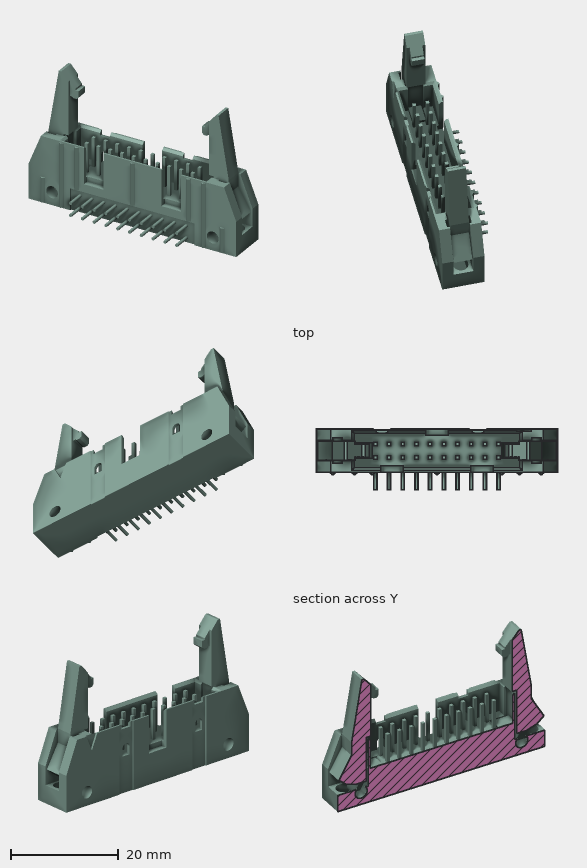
import cadquery as cq
import math


LENGTH = 44.7
DEPTH = 8.05
HEIGHT = 13.95
SHOULDER_HEIGHT = 7.4
TOP_LENGTH = 39.43
MID_Y = DEPTH / 2

CAVITY_LENGTH = 30.65
CAVITY_WIDTH = 6.45
CAVITY_FLOOR = 7.38
CAVITY_LEAD_IN = 0.45

WINDOW_WIDTH = 4.2
WINDOW_SILL = 6.3
WINDOW_REACH = 1.2
FRONT_WINDOW_X = 8.35
BACK_SLOT_CENTERS = (-10.2, 7.6)
BACK_GAP_WIDTH = 2.1
BACK_GAP_BOTTOM = 12.9
BACK_HOLE_DIAMETER = 1.65
BACK_HOLE_TOP = 9.85
RELIEF_WIDTH = 3.45
RELIEF_DEPTH = 0.2
MARK_X = 16.1
MARK_WIDTH = 2.7
MARK_DROP = 3.15
MARK_DEPTH = 0.4

PAD_LENGTH = 26.8
PAD_HEIGHT = 4.6
PAD_DEPTH = 0.3
RIB_WIDTH = 1.07
RIB_HEIGHT = 0.5
RIB_MARGIN = 0.22
OUTER_RIB_X = 19.3
OUTER_RIB_TOP = 5.35
LONG_RIB_X = 15.3
INNER_RIB_X = 12.02
MOUNT_HOLE_X = 17.3
MOUNT_HOLE_Z = 2.73
MOUNT_HOLE_DIAMETER = 2.5

SLOT_WIDTH = 3.8
SLOT_FLOOR = 3.65
POCKET_WIDTH = 2.8
POCKET_FLOOR = 1.0
POCKET_OUTER_X = 21.7
POCKET_INNER_X = 12.02
POCKET_END_ANGLE = 60.0
LIP_WIDTH = 3.0
LIP_THICKNESS = 0.55

LATCH_WIDTH = 3.55
NOSE_WIDTH = 2.4
LATCH_TOP = 27.3
LATCH_INNER_X = 15.15
LATCH_HEEL_X = 16.15
LATCH_HEEL_TOP = 14.25
LATCH_TIP_X = 17.2
LATCH_WAIST_X = 19.4
LATCH_WAIST_TOP = 14.3
LATCH_WAIST_BOTTOM = 11.45
THUMB_X = 22.13
THUMB_Z = 6.8
NOSE_TIP_X = 13.28
NOSE_SHELF = 23.8
NOSE_BOTTOM = 22.05
NOSE_BEVEL = 0.4
NOSE_UNDERSIDE = 22.3
BEAK_START = (16.67, LATCH_TOP)
BEAK_END = (13.95, 24.15)
LATCH_BOTTOM = 4.75
FOOT_TIP_X = 12.55
FOOT_TOP = 7.25
FOOT_BEVEL_TOP = 6.9
PIVOT_X = 18.4
PIVOT_Z = 7.6
PIVOT_DIAMETER = 1.8
PIVOT_REACH = 4.75

PINS_PER_ROW = 10
ROW_LENGTH = 22.85
ROW_PITCH = ROW_LENGTH / (PINS_PER_ROW - 1)
FRONT_ROW_Y = 2.73
LOW_TAIL_Z = 0.95
PIN_SIZE = 0.63
PIN_TOP = 13.5
TAIL_LENGTH = 3.25

SIDES = (-1, 1)


def box(x0, x1, y0, y1, z0, z1):
    """Axis-aligned box between two opposite corners."""
    corner = cq.Vector(min(x0, x1), y0, z0)
    return cq.Workplane(cq.Solid.makeBox(abs(x1 - x0), y1 - y0, z1 - z0, corner))


def side_profile(points, width, mid_y=MID_Y):
    """Extrude an XZ outline along Y, centred on mid_y."""
    plane = cq.Workplane("XZ", origin=(0, mid_y, 0))
    return plane.polyline(points).close().extrude(width / 2, both=True)


def y_cylinder(x, z, diameter, y0, y1):
    axis_start = cq.Vector(x, y0, z)
    return cq.Workplane(cq.Solid.makeCylinder(diameter / 2, y1 - y0, axis_start, cq.Vector(0, 1, 0)))


def housing_block():
    half, top_half = LENGTH / 2, TOP_LENGTH / 2
    outline = [
        (-half, 0), (half, 0), (half, SHOULDER_HEIGHT), (top_half, HEIGHT),
        (-top_half, HEIGHT), (-half, SHOULDER_HEIGHT),
    ]
    return side_profile(outline, DEPTH)


def cavity():
    """Pin cavity with its flared mouth."""
    well = cq.Workplane("XY", origin=(0, MID_Y, CAVITY_FLOOR)).rect(CAVITY_LENGTH, CAVITY_WIDTH)
    well = well.extrude(HEIGHT - CAVITY_FLOOR)
    mouth = (
        cq.Workplane("XY", origin=(0, MID_Y, HEIGHT))
        .rect(CAVITY_LENGTH + 2 * CAVITY_LEAD_IN, CAVITY_WIDTH + 2 * CAVITY_LEAD_IN)
        .workplane(offset=-CAVITY_LEAD_IN)
        .rect(CAVITY_LENGTH, CAVITY_WIDTH)
        .loft(ruled=True)
    )
    return well.union(mouth)


def window(x, y0):
    return box(x - WINDOW_WIDTH / 2, x + WINDOW_WIDTH / 2, y0, y0 + WINDOW_REACH, WINDOW_SILL, HEIGHT)


def back_slot(x):
    """Gap in the top of the back wall, arched hole below it and outer relief channel."""
    inner_y = MID_Y + CAVITY_WIDTH / 2
    half_gap = BACK_GAP_WIDTH / 2
    gap = box(x - half_gap, x + half_gap, inner_y, DEPTH, BACK_GAP_BOTTOM, HEIGHT)

    radius = BACK_HOLE_DIAMETER / 2
    arch_z = BACK_HOLE_TOP - radius
    hole = box(x - radius, x + radius, inner_y, DEPTH, CAVITY_FLOOR, arch_z)
    arch = y_cylinder(x, arch_z, BACK_HOLE_DIAMETER, inner_y, DEPTH)

    half_relief = RELIEF_WIDTH / 2
    floor_y = DEPTH - RELIEF_DEPTH
    relief = (
        cq.Workplane("XY")
        .moveTo(x - half_relief, DEPTH)
        .lineTo(x - half_relief + RELIEF_DEPTH, floor_y)
        .lineTo(x + half_relief - RELIEF_DEPTH, floor_y)
        .lineTo(x + half_relief, DEPTH)
        .close()
        .extrude(HEIGHT)
    )
    return gap.union(hole).union(arch).union(relief)


def pin_one_mark():
    """Triangle sunk in the back face, point down."""
    half = MARK_WIDTH / 2
    outline = [(MARK_X - half, HEIGHT), (MARK_X + half, HEIGHT), (MARK_X, HEIGHT - MARK_DROP)]
    return side_profile(outline, MARK_DEPTH, DEPTH - MARK_DEPTH / 2)


def latch_slot(side):
    """Slot through one end, the deeper round-ended pocket in its floor and the pivot grooves."""
    cavity_end = CAVITY_LENGTH / 2
    slot = box(
        side * (cavity_end + LIP_THICKNESS), side * LENGTH / 2,
        MID_Y - SLOT_WIDTH / 2, MID_Y + SLOT_WIDTH / 2, SLOT_FLOOR, HEIGHT,
    )
    mouth = box(
        side * cavity_end, side * (cavity_end + LIP_THICKNESS),
        MID_Y - LIP_WIDTH / 2, MID_Y + LIP_WIDTH / 2, SLOT_FLOOR, HEIGHT,
    )

    radius = POCKET_WIDTH / 2
    round_x = POCKET_OUTER_X - radius
    end_run = (CAVITY_FLOOR - POCKET_FLOOR) / math.tan(math.radians(POCKET_END_ANGLE))
    pocket_outline = [
        (side * round_x, POCKET_FLOOR),
        (side * (POCKET_INNER_X + end_run), POCKET_FLOOR),
        (side * POCKET_INNER_X, CAVITY_FLOOR),
        (side * round_x, CAVITY_FLOOR),
    ]
    pocket = side_profile(pocket_outline, POCKET_WIDTH)
    pocket_end = (
        cq.Workplane("XY", origin=(side * round_x, MID_Y, POCKET_FLOOR))
        .circle(radius)
        .extrude(SLOT_FLOOR - POCKET_FLOOR)
    )

    half_groove = PIVOT_DIAMETER / 2
    groove_y = MID_Y - PIVOT_REACH / 2
    groove = box(
        side * PIVOT_X - half_groove, side * PIVOT_X + half_groove,
        groove_y, groove_y + PIVOT_REACH, PIVOT_Z, HEIGHT,
    )
    return slot.union(mouth).union(pocket).union(pocket_end).union(groove)


def rib(x, z0, z1):
    """Vertical triangular rib on the front face."""
    outline = [(x - RIB_WIDTH / 2, 0), (x + RIB_WIDTH / 2, 0), (x, -RIB_HEIGHT)]
    return cq.Workplane("XY", origin=(0, 0, z0)).polyline(outline).close().extrude(z1 - z0)


def latch(side):
    """Lever with its hooked nose, ejector foot and pivot stubs."""
    beak_slope = (BEAK_START[1] - BEAK_END[1]) / (BEAK_START[0] - BEAK_END[0])
    beak_joint = (LATCH_INNER_X, BEAK_END[1] + beak_slope * (LATCH_INNER_X - BEAK_END[0]))
    lever_outline = [
        BEAK_START,
        (LATCH_TIP_X, LATCH_TOP),
        (LATCH_WAIST_X, LATCH_WAIST_TOP),
        (LATCH_WAIST_X, LATCH_WAIST_BOTTOM),
        (THUMB_X, THUMB_Z),
        (20.55, 5.45),
        (18.33, LATCH_BOTTOM),
        (LATCH_HEEL_X, LATCH_BOTTOM),
        (LATCH_HEEL_X, LATCH_HEEL_TOP),
        (LATCH_INNER_X, LATCH_HEEL_TOP),
        beak_joint,
    ]
    nose_outline = [
        beak_joint,
        BEAK_END,
        (BEAK_END[0], NOSE_SHELF),
        (NOSE_TIP_X, NOSE_SHELF),
        (NOSE_TIP_X, NOSE_BOTTOM + NOSE_BEVEL),
        (NOSE_TIP_X + NOSE_BEVEL, NOSE_BOTTOM),
        (14.4, NOSE_BOTTOM),
        (14.65, NOSE_UNDERSIDE),
        (LATCH_INNER_X, NOSE_UNDERSIDE),
    ]
    bevel_run = (FOOT_BEVEL_TOP - LATCH_BOTTOM) / math.tan(math.radians(POCKET_END_ANGLE))
    foot_outline = [
        (LATCH_HEEL_X, LATCH_BOTTOM),
        (FOOT_TIP_X + bevel_run, LATCH_BOTTOM),
        (FOOT_TIP_X, FOOT_BEVEL_TOP),
        (FOOT_TIP_X, FOOT_TOP),
        (LATCH_HEEL_X, FOOT_TOP),
    ]

    def placed(outline, width):
        return side_profile([(side * x, z) for x, z in outline], width)

    pivot_y = MID_Y - PIVOT_REACH / 2
    pivot = y_cylinder(side * PIVOT_X, PIVOT_Z, PIVOT_DIAMETER, pivot_y, pivot_y + PIVOT_REACH)
    lever = placed(lever_outline, LATCH_WIDTH)
    nose = placed(nose_outline, NOSE_WIDTH)
    foot = placed(foot_outline, NOSE_WIDTH)
    return lever.union(nose).union(foot).union(pivot)


def pin(x, y, tail_z):
    """Square post and a round tail leaving through the front."""
    post = (
        cq.Workplane("XY", origin=(x, y, tail_z))
        .rect(PIN_SIZE, PIN_SIZE)
        .extrude(PIN_TOP - tail_z)
    )
    return post.union(y_cylinder(x, tail_z, PIN_SIZE, -TAIL_LENGTH, y))


result = housing_block().cut(cavity())
for side in SIDES:
    result = result.cut(window(side * FRONT_WINDOW_X, 0))
    result = result.cut(latch_slot(side))
    result = result.cut(y_cylinder(side * MOUNT_HOLE_X, MOUNT_HOLE_Z, MOUNT_HOLE_DIAMETER, 0, DEPTH))
result = result.cut(window(0, DEPTH - WINDOW_REACH))
for slot_x in BACK_SLOT_CENTERS:
    result = result.cut(back_slot(slot_x))
result = result.cut(pin_one_mark())
result = result.cut(box(-PAD_LENGTH / 2, PAD_LENGTH / 2, 0, PAD_DEPTH, 0, PAD_HEIGHT))

rib_top = HEIGHT - RIB_MARGIN
above_pad = PAD_HEIGHT + RIB_MARGIN
result = result.union(rib(0, above_pad, rib_top))
for side in SIDES:
    result = result.union(rib(side * OUTER_RIB_X, RIB_MARGIN, OUTER_RIB_TOP))
    result = result.union(rib(side * LONG_RIB_X, RIB_MARGIN, rib_top))
    result = result.union(rib(side * INNER_RIB_X, above_pad, rib_top))

for side in SIDES:
    result = result.union(latch(side))

for column in range(PINS_PER_ROW):
    pin_x = column * ROW_PITCH - ROW_LENGTH / 2
    result = result.union(pin(pin_x, FRONT_ROW_Y, LOW_TAIL_Z + ROW_PITCH))
    result = result.union(pin(pin_x, FRONT_ROW_Y + ROW_PITCH, LOW_TAIL_Z))